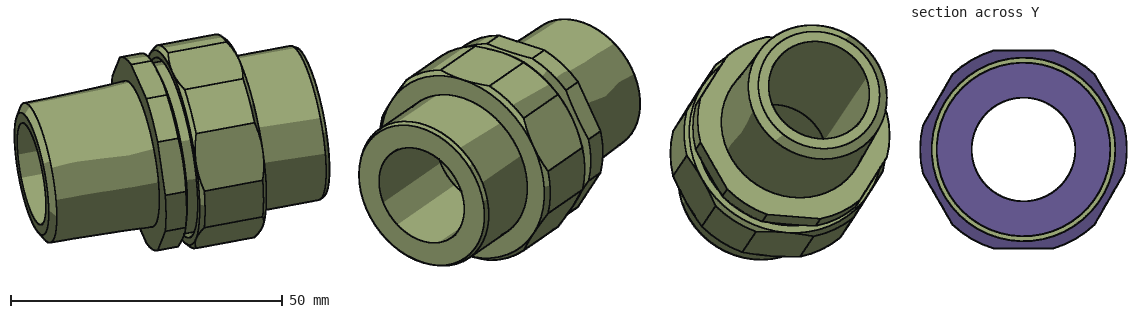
import cadquery as cq
import math

total_length = 53.1
bore_radius = 19.05 / 2

pipe_tip_radius = 13.1
pipe_root_radius = 13.7
pipe_face_radius = 11.45
pipe_chamfer_length = 1.05
flange_start = 20.55
flange_end = 25.25
flange_across_flats = 34.9
flange_corner_radius = 18.15
flange_chamfer_length = 0.8
collar_radius = 32.0 / 2

nut_start = 26.95
nut_end = 39.75
nut_across_flats = 36.5
nut_corner_radius = 19.05
nut_chamfer_length = 0.8
nut_lip = 2.65
nut_bore_radius = 33.75 / 2

sleeve_radius = 28.95 / 2
sleeve_edge_length = 0.8
sleeve_edge_depth = 0.4
shoulder_length = 2.65

lip_start = nut_end - nut_lip
joint = lip_start - shoulder_length


def revolve_about_y(points):
    """Turn a closed (radius, Y) outline about the Y axis."""
    return cq.Workplane("XY").polyline(points).close().revolve(360, (0, 0), (0, 1))


def hexagon(across_flats, start, end):
    """Hexagonal bar along Y with one pair of flats facing up and down."""
    across_corners = across_flats / math.cos(math.pi / 6)
    return (
        cq.Workplane("XZ", origin=(0, start, 0))
        .polygon(6, across_corners)
        .extrude(start - end)
    )


def make_tailpiece():
    flange = revolve_about_y([
        (bore_radius, flange_start),
        (flange_corner_radius, flange_start),
        (flange_corner_radius, flange_end - flange_chamfer_length),
        (collar_radius, flange_end),
        (bore_radius, flange_end),
    ]).intersect(hexagon(flange_across_flats, flange_start, flange_end))
    pipe = revolve_about_y([
        (bore_radius, 0),
        (pipe_face_radius, 0),
        (pipe_tip_radius, pipe_chamfer_length),
        (pipe_root_radius, flange_start),
        (bore_radius, flange_start),
    ])
    collar = revolve_about_y([
        (bore_radius, flange_end),
        (collar_radius, flange_end),
        (collar_radius, joint),
        (bore_radius, joint),
    ])
    return flange.union(pipe).union(collar)


def make_nut():
    face_radius = nut_across_flats / 2
    turned = revolve_about_y([
        (nut_bore_radius, nut_start),
        (face_radius, nut_start),
        (nut_corner_radius, nut_start + nut_chamfer_length),
        (nut_corner_radius, nut_end - nut_chamfer_length),
        (face_radius, nut_end),
        (sleeve_radius, nut_end),
        (sleeve_radius, lip_start),
        (nut_bore_radius, lip_start),
    ])
    return turned.intersect(hexagon(nut_across_flats, nut_start, nut_end))


def make_sleeve():
    return revolve_about_y([
        (bore_radius, joint),
        (nut_bore_radius, joint),
        (nut_bore_radius, lip_start),
        (sleeve_radius, lip_start),
        (sleeve_radius, total_length - sleeve_edge_length),
        (sleeve_radius - sleeve_edge_depth, total_length),
        (bore_radius, total_length),
    ])


tailpiece = make_tailpiece()
nut = make_nut()
sleeve = make_sleeve()

result = cq.Compound.makeCompound([tailpiece.val(), nut.val(), sleeve.val()])